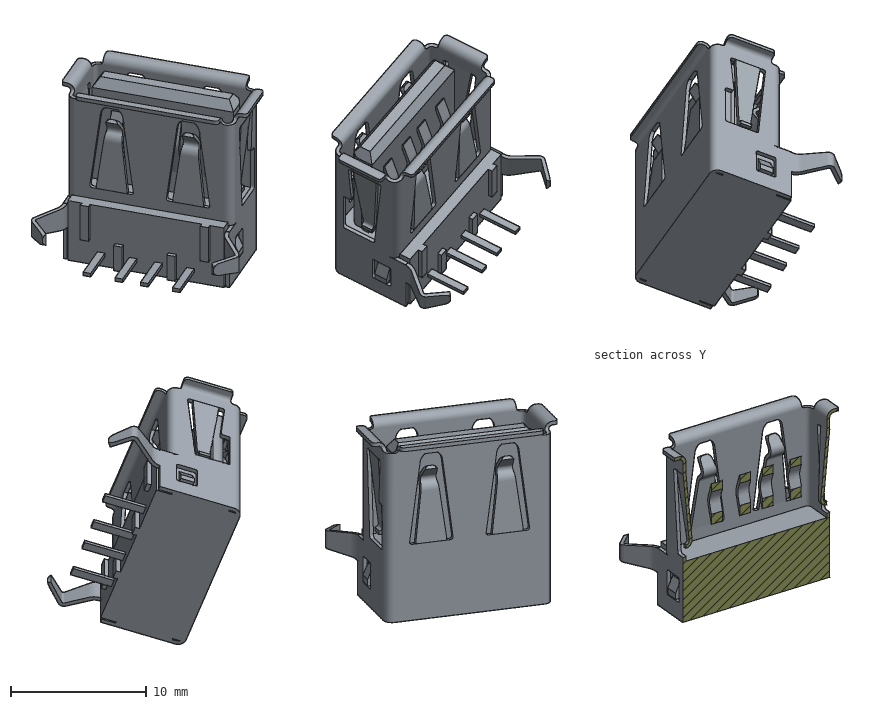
import math
import cadquery as cq


sheet = 0.3
shell_x, shell_y = 13.04, 5.74
shell_top = 13.35
corner_radius = 0.65
inner_x = shell_x / 2 - sheet
inner_y = shell_y / 2 - sheet
mid_x = shell_x / 2 - sheet / 2
mid_y = shell_y / 2 - sheet / 2
front_wall_bottom = 4.76
side_wall_front = -3.64

total_height = 14.0
flare_reach = 0.76
flare_bend = total_height - shell_top - sheet / 2
flare_root_fillet = 0.25
flare_corner_radius = 0.3
flare_half_length_x = 5.61
flare_half_length_y = 1.92

spring_x = 3.0
spring_hinge = 6.01
spring_tip = 11.98
spring_half_root, spring_half_tip = 1.23, 0.47
spring_tip_radius = 0.4
spring_corners = [(-2.44, 10.27), (-1.82, 10.79), (-2.735, 11.88)]
spring_bends = (0.2, 0.65, 0.5)
slot_half_root, slot_half_top = 1.73, 0.78
slot_top = 13.17
slot_top_fillet, slot_root_fillet = 0.85, 0.2

window_top, window_bottom = 12.38, 5.46
window_half_top, window_half_bottom = 1.46, 0.86
notch_top, notch_back = 9.0, 1.89
window_fillet = 0.18
side_spring_half_root, side_spring_half_tip = 1.02, 0.43
side_spring_tip = 6.13
side_spring_crest, side_spring_end = 5.79, 6.25
side_spring_bends = (0.2, 0.4)

base_top = 5.09
block_half_x = 6.12
block_front = -3.77
rib_front = -4.11
rib_width = 0.65
rib_split = 2.13
long_rib_x, short_rib_x = 4.7, 2.09
tongue_half_x = 5.55
tongue_front, tongue_back = -0.01, 1.86
tongue_top = 13.57
tongue_bevel_height, tongue_bevel_width = 0.75, 0.5
tongue_corner_radius = 0.62
ridge_height, ridge_slope_width = 0.11, 0.22
ridge_back, ridge_front = 0.9, 0.21
ridge_top = 10.9

pin_positions = (-3.5, -1.0, 1.0, 3.5)
contact_width = 0.99
contact_thickness = 0.25
contact_corners = [(0.02, 11.15), (-0.63, 9.35), (0.3, 6.2)]
contact_bend = 1.2
pin_width, pin_thickness = 0.6, 0.3
pin_z = 1.01
pin_end = -6.96

lock_z = 3.71
lock_half_root, lock_half_tip = 1.02, 0.47
lock_tip = -7.74
lock_tip_radius = 0.4
lock_corners = [(mid_x, -4.08), (8.067, -6.15), (6.6, -7.64)]
lock_bends = (1.2, 0.3)

latch_y, latch_width = -1.505, 1.05
latch_reach = 6.65
latch_bottom, latch_flat_top, latch_top = 1.63, 2.14, 3.09
latch_hole_y, latch_hole_z = 1.63, 2.08
latch_hole_center_z = 2.48


def box(x0, x1, y0, y1, z0, z1):
    return cq.Workplane("XY").box(x1 - x0, y1 - y0, z1 - z0, centered=False).translate((x0, y0, z0))


def mirrored_x(body):
    return body.union(body.mirror("YZ"))


def mirrored_y(body):
    return body.union(body.mirror("XZ"))


def symmetric_prism(plane, center, stations, half_depth):
    """Prism symmetric about a vertical line, from (half width, height) pairs listed bottom to top."""
    left = [(center - half, height) for half, height in stations]
    right = [(center + half, height) for half, height in reversed(stations)]
    return cq.Workplane(plane).polyline(left + right).close().extrude(half_depth, both=True)


def bent_strip(plane, path, bends, width, thickness=sheet):
    """Strip of sheet along a centre line with one bend radius per corner, centred on its sketch plane."""
    points = [cq.Vector(x, y) for x, y in path]
    steps = [(b - a).normalized() for a, b in zip(points, points[1:])]
    normals = [cq.Vector(-step.y, step.x) for step in steps]

    def side(offset):
        rail = [(points[0] + normals[0] * offset,)]
        for i in range(1, len(steps)):
            turn = math.acos(steps[i - 1].dot(steps[i]))
            left = 1 if steps[i - 1].cross(steps[i]).z > 0 else -1
            bend = bends[i - 1]
            setback = bend * math.tan(turn / 2)
            start = points[i] - steps[i - 1] * setback
            end = points[i] + steps[i] * setback
            center = start + normals[i - 1] * (left * bend)
            middle = center + (points[i] - center).normalized() * (bend - left * offset)
            rail.append((start + normals[i - 1] * offset, middle, end + normals[i] * offset))
        rail.append((points[-1] + normals[-1] * offset,))
        return rail

    def trace(sketch, rail):
        for stop in rail:
            sketch = sketch.lineTo(stop[0].x, stop[0].y)
            if len(stop) == 3:
                sketch = sketch.threePointArc((stop[1].x, stop[1].y), (stop[2].x, stop[2].y))
        return sketch

    near = side(thickness / 2)
    far = [stop[::-1] for stop in reversed(side(-thickness / 2))]
    sketch = cq.Workplane(plane).moveTo(near[0][0].x, near[0][0].y)
    sketch = trace(trace(sketch, near[1:]), far)
    return sketch.close().extrude(width / 2, both=True)


def tube():
    outer = cq.Workplane("XY").rect(shell_x, shell_y).extrude(shell_top)
    outer = outer.edges("|Z").fillet(corner_radius)
    inner = cq.Workplane("XY").rect(2 * inner_x, 2 * inner_y).extrude(shell_top)
    inner = inner.edges("|Z").fillet(corner_radius - sheet)
    corner_start = shell_y / 2 - corner_radius
    opening = box(-shell_x, shell_x, -shell_y, -corner_start, 0, front_wall_bottom)
    side = box(inner_x, shell_x / 2, side_wall_front, 0, 0, front_wall_bottom)
    return outer.cut(inner).cut(opening).union(mirrored_x(side))


def flare(plane, wall_middle, half_length):
    """Rim flange that bends outward from the top of one wall, with a filleted root."""
    r = flare_root_fillet
    top_middle = total_height - sheet / 2
    end = wall_middle + sheet / 2 + flare_reach
    path = [(wall_middle, shell_top - sheet), (wall_middle, top_middle), (end, top_middle)]
    flange = bent_strip(plane, path, (flare_bend,), 2 * (half_length + r))
    across = "YZ" if plane == "XZ" else "XZ"
    outline = (
        cq.Workplane(across)
        .moveTo(-half_length - r, shell_top - sheet)
        .lineTo(-half_length - r, shell_top)
        .radiusArc((-half_length, shell_top + r), -r)
        .lineTo(-half_length, total_height)
        .lineTo(half_length, total_height)
        .lineTo(half_length, shell_top + r)
        .radiusArc((half_length + r, shell_top), -r)
        .lineTo(half_length + r, shell_top - sheet)
        .close()
        .extrude(shell_x, both=True)
    )
    flange = flange.intersect(outline)
    outer_side = ">X" if plane == "XZ" else ">Y"
    return flange.faces(outer_side).edges("|Z").fillet(flare_corner_radius)


def slot():
    stations = [(slot_half_root, spring_hinge), (slot_half_top, slot_top)]
    body = symmetric_prism("XZ", spring_x, stations, shell_y)
    body = body.edges("|Y and >Z").fillet(slot_top_fillet)
    return body.edges("|Y and <Z").fillet(slot_root_fillet)


def wall_spring():
    path = [
        (-mid_y, spring_hinge - sheet),
        (-mid_y, spring_hinge),
        *spring_corners,
    ]
    strip = bent_strip("YZ", path, spring_bends, 2 * slot_half_root).translate((spring_x, 0, 0))
    stations = [
        (spring_half_root, spring_hinge - sheet),
        (spring_half_root, spring_hinge),
        (spring_half_tip, spring_tip),
    ]
    outline = symmetric_prism("XZ", spring_x, stations, shell_y)
    return strip.intersect(outline.edges("|Y and >Z").fillet(spring_tip_radius))


def window():
    stations = [(window_half_bottom, window_bottom), (window_half_top, window_top)]
    tapered = symmetric_prism("YZ", 0, stations, shell_x)
    notch = box(-shell_x, shell_x, 0, notch_back, window_bottom, notch_top)
    return tapered.union(notch).edges("|X").fillet(window_fillet)


def side_spring():
    tip_middle = side_spring_tip + sheet / 2
    path = [
        (mid_x, window_top + sheet),
        (mid_x, window_top),
        (side_spring_crest, tip_middle),
        (side_spring_end, tip_middle),
    ]
    strip = bent_strip("XZ", path, side_spring_bends, shell_y)
    stations = [
        (side_spring_half_tip, side_spring_tip),
        (side_spring_half_root, window_top),
        (side_spring_half_root, window_top + sheet),
    ]
    return strip.intersect(symmetric_prism("YZ", 0, stations, shell_x))


def board_lock():
    """Spring leg that continues the side wall toward -Y, kinks outward and returns inward."""
    path = [
        (mid_x, side_wall_front + sheet),
        *lock_corners,
    ]
    strip = bent_strip("XY", path, lock_bends, 4 * lock_half_root).translate((0, 0, lock_z))
    outline = (
        cq.Workplane("YZ")
        .polyline([
            (side_wall_front + sheet, lock_z - lock_half_root),
            (side_wall_front, lock_z - lock_half_root),
            (lock_tip, lock_z - lock_half_tip),
            (lock_tip, lock_z + lock_half_tip),
            (side_wall_front, lock_z + lock_half_root),
            (side_wall_front + sheet, lock_z + lock_half_root),
        ])
        .close()
        .extrude(shell_x)
        .edges("|X and <Y")
        .fillet(lock_tip_radius)
    )
    return strip.intersect(outline)


def latch_hole():
    hole = cq.Workplane("XY").box(2 * shell_x, latch_hole_y, latch_hole_z)
    return hole.edges("|X").fillet(window_fillet).translate((0, latch_y, latch_hole_center_z))


def shell():
    body = tube().cut(mirrored_y(mirrored_x(slot()))).cut(window()).cut(latch_hole())
    body = body.union(mirrored_x(flare("XZ", mid_x, flare_half_length_y)))
    body = body.union(mirrored_y(flare("YZ", mid_y, flare_half_length_x)))
    body = body.union(mirrored_y(mirrored_x(wall_spring())))
    body = body.union(mirrored_x(side_spring()))
    return body.union(mirrored_x(board_lock()))


def tongue():
    """Bevelled contact carrier with rounded back corners and a shallow ridge on each end."""
    bevel_start = tongue_top - tongue_bevel_height
    body = box(-tongue_half_x, tongue_half_x, tongue_front, tongue_back, 0, tongue_top)
    rounded = body.edges("|Z and >Y").fillet(tongue_corner_radius)
    bevelled = box(-tongue_half_x, tongue_half_x, tongue_front, tongue_back, 0, bevel_start)
    slope = math.degrees(math.atan(tongue_bevel_width / tongue_bevel_height))
    cap = bevelled.faces(">Z").wires().toPending().workplane().extrude(tongue_bevel_height, taper=slope)
    body = rounded.intersect(cap)
    ridge = (
        cq.Workplane("XY")
        .polyline([
            (0, ridge_back),
            (tongue_half_x, ridge_back),
            (tongue_half_x + ridge_height, ridge_back - ridge_slope_width),
            (tongue_half_x + ridge_height, ridge_front),
            (0, ridge_front),
        ])
        .close()
        .extrude(ridge_top)
    )
    return body.union(mirrored_x(ridge))


def latch():
    return (
        cq.Workplane("XZ", origin=(0, latch_y, 0))
        .polyline([
            (0, latch_bottom),
            (latch_reach, latch_bottom),
            (latch_reach, latch_flat_top),
            (inner_x, latch_top),
            (0, latch_top),
        ])
        .close()
        .extrude(latch_width / 2, both=True)
    )


def insulator():
    body = box(-inner_x, inner_x, -inner_y, inner_y - corner_radius, 0, base_top)
    body = body.union(box(-block_half_x, block_half_x, block_front, inner_y, 0, base_top))
    half = rib_width / 2
    long_rib = box(long_rib_x - half, long_rib_x + half, rib_front, 0, rib_split, base_top)
    short_rib = box(short_rib_x - half, short_rib_x + half, rib_front, 0, 0, rib_split)
    body = body.union(mirrored_x(long_rib.union(short_rib)))
    return body.union(tongue()).union(mirrored_x(latch()))


def contact(x):
    """Bowed contact on the face of the tongue, with its pin below."""
    bow = bent_strip("YZ", contact_corners, (contact_bend,), contact_width, contact_thickness)
    bow = bow.translate((x, 0, 0))
    half_width, half_thickness = pin_width / 2, pin_thickness / 2
    pin = box(x - half_width, x + half_width, pin_end, 0, pin_z - half_thickness, pin_z + half_thickness)
    return bow.union(pin)


result = shell().union(insulator())
for pin_x in pin_positions:
    result = result.union(contact(pin_x))